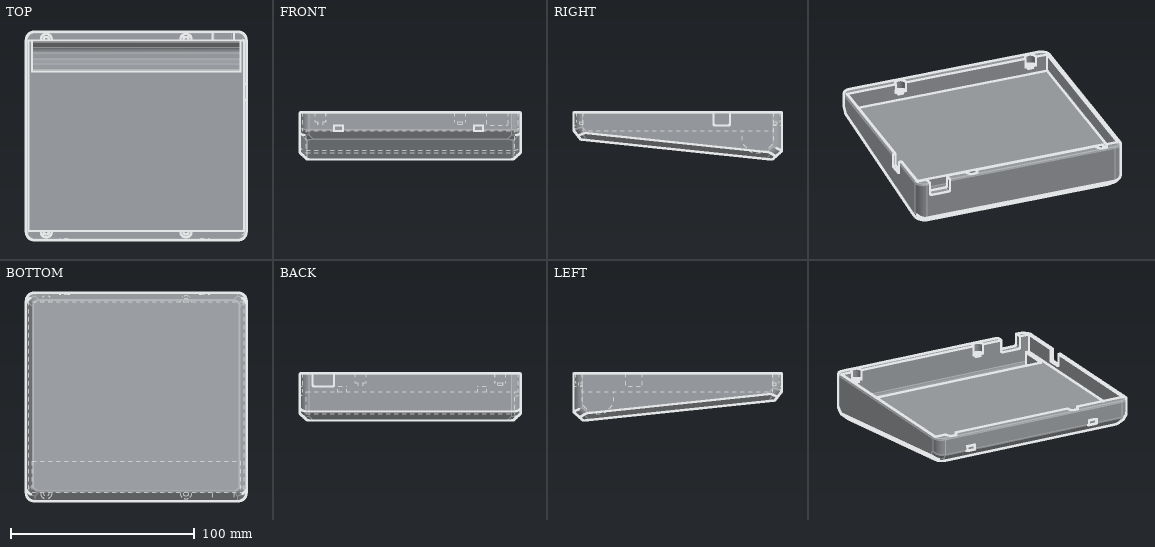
import cadquery as cq
import math

length = 120.2
width = 113.6
depth = 25.8
corner_radius = 5.0
edge_fillet = 0.7

underside_tilt = 6.0
side_bevel = 3.8
rear_bevel_inset = 5.4
front_bevel_inset = 4.1
rear_wall_height = 20.9
front_wall_height = 9.7

side_wall = 1.6
rear_wall = 4.8
front_wall = 5.2
floor_depth = 10.1
cavity_length = length - 2 * side_wall
rear_face = width / 2 - rear_wall
front_face = front_wall - width / 2

trough_length = 113.2
trough_width = 17.0
trough_depth = 12.0
trough_chamfer = 5.2
trough_fillet = 4.1

seat_spacing = 76.0
first_seat_x = -48.9
seat_offset = 0.5
seat_radius = 3.0
seat_depth = 5.4
pilot_radius = 1.5
pilot_depth = 1.2

notch_depth = 7.2
notch_fillet = 1.0
rear_notch_width = 11.7
rear_notch_x = 47.2
side_notch_width = 8.9
side_notch_y = 23.9

latch_width = 4.8
latch_height = 2.9
latch_depth = 1.0
latch_top = 7.3
first_latch_x = -38.9


def is_corner_edge(edge):
    """True for the upright corner edges and the mitres that continue them down to the underside."""
    start = edge.startPoint()
    end = edge.endPoint()
    across_length = abs(start.x - end.x) > length / 2
    across_width = abs(start.y - end.y) > width / 2
    return not (across_length or across_width)


def outer_body():
    """Sloping block with bevelled lower edges and every outer edge rounded."""
    rear = width / 2
    front = -width / 2
    rear_foot = rear - rear_bevel_inset
    front_foot = front + front_bevel_inset
    rise = (rear_foot - front_foot) * math.tan(math.radians(underside_tilt))
    underside = cq.selectors.NearestToPointSelector((0, 0, -depth))
    side_profile = [
        (rear, 0),
        (rear, -rear_wall_height),
        (rear_foot, -depth),
        (front_foot, rise - depth),
        (front, -front_wall_height),
        (front, 0),
    ]
    body = cq.Workplane("YZ").polyline(side_profile).close().extrude(length / 2, both=True)
    body = body.faces(underside).edges("not |X").chamfer(side_bevel)
    corner_edges = [edge for edge in body.edges().vals() if is_corner_edge(edge)]
    body = body.newObject(corner_edges).fillet(corner_radius)
    body = body.faces(underside).edges().fillet(edge_fillet)
    body = body.faces("<Y").edges("<Z").fillet(edge_fillet)
    return body.faces(">Z").edges().fillet(edge_fillet)


def cavity():
    return cq.Workplane("XY").box(
        cavity_length, rear_face - front_face, 2 * floor_depth
    ).translate((0, (rear_face + front_face) / 2, 0))


def trough():
    """Channel with chamfered bottom corners, every bend rounded."""
    bottom = floor_depth + trough_depth
    channel = (
        cq.Workplane("XY")
        .box(trough_length, trough_width, bottom, centered=(True, False, False))
        .translate((0, rear_face - trough_width, -bottom))
    )
    channel = channel.edges("|X and <Z").chamfer(trough_chamfer)
    low_bends = cq.selectors.BoxSelector(
        (-length, -width, -bottom - 1.2), (length, width, -bottom + trough_chamfer + 1.2)
    )
    return channel.edges("|X").edges(low_bends).fillet(trough_fillet)


def screw_seats():
    rows = (front_face - seat_offset, rear_face + seat_offset)
    places = [(first_seat_x + i * seat_spacing, y) for i in range(2) for y in rows]
    seats = cq.Workplane("XY").pushPoints(places).circle(seat_radius).extrude(-seat_depth)
    pilots = cq.Workplane("XY").pushPoints(places).circle(pilot_radius).extrude(-seat_depth - pilot_depth)
    return seats.union(pilots)


def rear_notch():
    reach = 3 * rear_wall
    cutter = cq.Workplane("XY").box(rear_notch_width, reach, 2 * notch_depth)
    cutter = cutter.edges("|Y and <Z").fillet(notch_fillet)
    return cutter.translate((rear_notch_x, width / 2, 0))


def side_notch():
    reach = 2 * side_wall
    cutter = cq.Workplane("XY").box(reach, side_notch_width, 2 * notch_depth)
    cutter = cutter.edges("|X and <Z").fillet(notch_fillet)
    return cutter.translate((length / 2, side_notch_y, 0))


def latch_pockets():
    height = -latch_top - latch_height / 2
    places = [(first_latch_x + i * seat_spacing, -width / 2, height) for i in range(2)]
    return cq.Workplane("XY").pushPoints([p[:2] for p in places]).box(
        latch_width, 2 * latch_depth, latch_height
    ).translate((0, 0, height))


result = outer_body()
for cutter in (cavity(), trough(), screw_seats(), rear_notch(), side_notch(), latch_pockets()):
    result = result.cut(cutter)